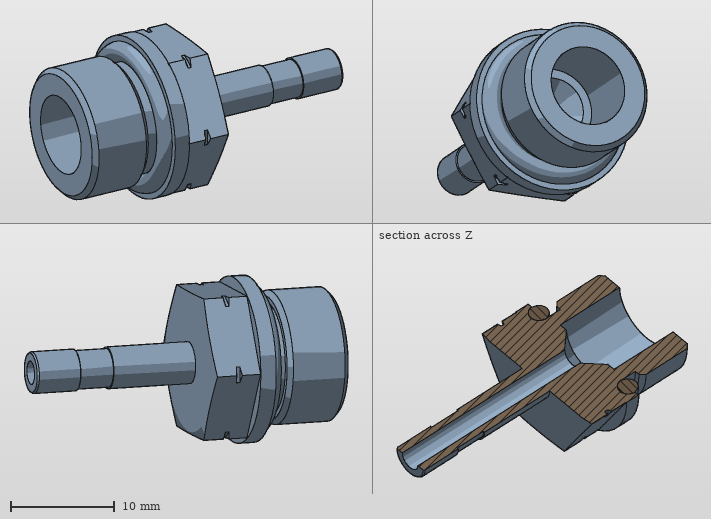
import cadquery as cq
import math

total_length = 30.35

thread_radius = 6.53
thread_chamfer = 0.5
thread_length = 6.25
neck_radius = 5.52

flange_radius = 8.1
flange_front = 8.07
flange_back = 9.65
ring_tube_radius = 1.0
ring_center_radius = neck_radius + ring_tube_radius

hex_across_flats = 13.9
hex_corner_radius = hex_across_flats / 2 / math.cos(math.pi / 6)
hex_back = 14.2
hex_crown_radius = 6.77
hex_crown_drop = 0.15

mark_floor_radius = 7.62
mark_floor_front = 11.62
mark_floor_back = 11.95
mark_side_slant = 0.12

stem_radius = 2.03
stem_chamfer_length = 0.18
stem_chamfer_depth = 0.12
waist_radius = 1.88
waist_front = 22.55
waist_back = 25.92

bore_radius = 3.9
bore_depth = 7.6
countersink_radius = 3.05
hole_radius = 1.12
countersink_depth = countersink_radius - hole_radius


def turned(profile):
    """Revolve a closed (radius, Y) profile around the Y axis."""
    return profile.close().revolve(360, (0, 0, 0), (0, 1, 0))


def turned_polyline(points):
    return turned(cq.Workplane("XY").polyline(points))


def make_threaded_end_and_flange():
    """Chamfered cylinder, neck, and flange with a half-round seat for the O-ring."""
    chamfer_radius = thread_radius - thread_chamfer
    profile = (
        cq.Workplane("XY")
        .moveTo(0, 0)
        .lineTo(chamfer_radius, 0)
        .lineTo(thread_radius, thread_chamfer)
        .lineTo(thread_radius, thread_length - thread_chamfer)
        .lineTo(chamfer_radius, thread_length)
        .lineTo(neck_radius, thread_length)
        .lineTo(neck_radius, flange_front)
        .threePointArc(
            (ring_center_radius, flange_front + ring_tube_radius),
            (ring_center_radius + ring_tube_radius, flange_front),
        )
        .lineTo(flange_radius, flange_front)
        .lineTo(flange_radius, flange_back)
        .lineTo(0, flange_back)
    )
    return turned(profile)


def make_hexagon():
    """Hexagon with corners on the X axis, a crowned back and a marking groove."""
    prism = (
        cq.Workplane("XZ", origin=(0, flange_back, 0))
        .polygon(6, 2 * hex_corner_radius)
        .extrude(flange_back - hex_back)
    )
    crown = turned_polyline([
        (0, flange_back),
        (hex_corner_radius, flange_back),
        (hex_corner_radius, hex_back - hex_crown_drop),
        (hex_crown_radius, hex_back),
        (0, hex_back),
    ])
    marking_groove = turned_polyline([
        (mark_floor_radius, mark_floor_front),
        (hex_corner_radius, mark_floor_front - mark_side_slant),
        (hex_corner_radius, mark_floor_back + mark_side_slant),
        (mark_floor_radius, mark_floor_back),
    ])
    return prism.intersect(crown).cut(marking_groove)


def make_stem():
    return turned_polyline([
        (0, hex_back),
        (stem_radius, hex_back),
        (stem_radius, waist_front),
        (waist_radius, waist_front),
        (waist_radius, waist_back),
        (stem_radius, waist_back),
        (stem_radius, total_length - stem_chamfer_length),
        (stem_radius - stem_chamfer_depth, total_length),
        (0, total_length),
    ])


def make_passage():
    return turned_polyline([
        (0, 0),
        (bore_radius, 0),
        (bore_radius, bore_depth),
        (countersink_radius, bore_depth),
        (hole_radius, bore_depth + countersink_depth),
        (hole_radius, total_length),
        (0, total_length),
    ])


def make_fitting():
    outside = make_threaded_end_and_flange().union(make_hexagon()).union(make_stem())
    return outside.cut(make_passage())


def make_o_ring():
    section = cq.Workplane("XY").center(ring_center_radius, flange_front).circle(ring_tube_radius)
    return section.revolve(360, (-ring_center_radius, 0, 0), (-ring_center_radius, 1, 0))


fitting = make_fitting()
o_ring = make_o_ring()

result = cq.Compound.makeCompound([fitting.solids().val(), o_ring.solids().val()])